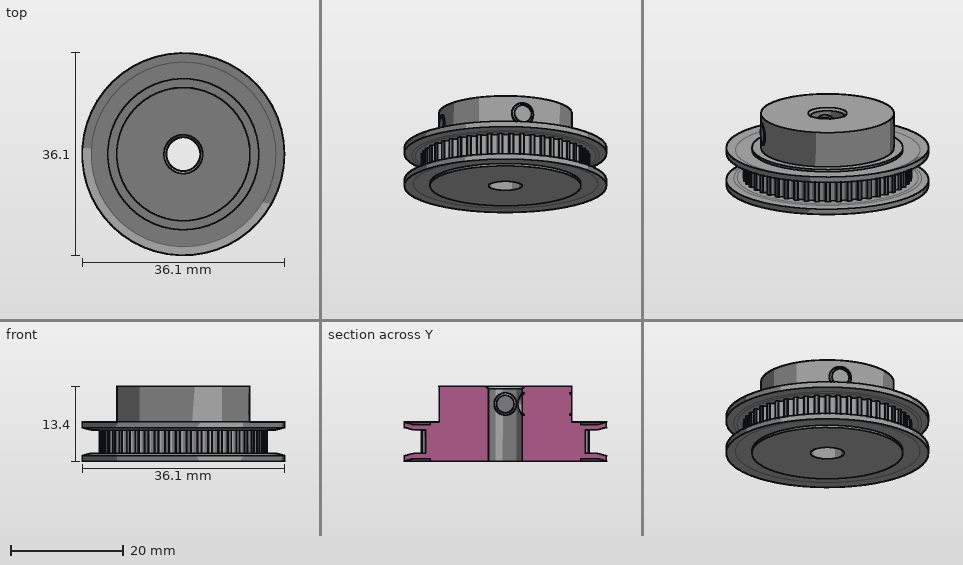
import cadquery as cq
import math

tooth_count = 48
land_radius = 15.0
groove_depth = 0.75
groove_bottom_radius = 0.55
groove_half_width = 0.65
groove_lip_radius = 0.15

flange_radius = 18.05
sheet_thickness = 1.0
dish_depth = 0.45
dish_floor_radius = 16.45
dish_bend_radius = 2.35
core_radius = 13.45

pulley_height = 7.0
total_height = 13.4

hub_radius = 11.88
bore_radius = 3.0
bore_chamfer = 0.47

screw_radius = 2.0
screw_height = (pulley_height + total_height) / 2
screw_chamfer = 0.45
screw_directions = (cq.Vector(1, 0, 0), cq.Vector(0, 1, 0))


def disc(radius, bottom, top):
    return cq.Workplane("XY").workplane(offset=bottom).circle(radius).extrude(top - bottom)


def make_upper_flange():
    """Sheet ring whose flat middle is sunk towards the teeth, below its raised edge."""
    edge_bottom = pulley_height - sheet_thickness
    floor_bottom = edge_bottom - dish_depth
    floor_top = floor_bottom + sheet_thickness

    slope = math.atan2(dish_depth, flange_radius - dish_floor_radius)
    tangent_length = dish_bend_radius * math.tan(slope / 2)
    bend_start = dish_floor_radius - tangent_length
    bend_end = (
        dish_floor_radius + tangent_length * math.cos(slope),
        floor_bottom + tangent_length * math.sin(slope),
    )
    bend_middle = (
        bend_start + dish_bend_radius * math.sin(slope / 2),
        floor_bottom + dish_bend_radius * (1 - math.cos(slope / 2)),
    )
    return (
        cq.Workplane("XZ")
        .moveTo(0, floor_bottom)
        .lineTo(bend_start, floor_bottom)
        .threePointArc(bend_middle, bend_end)
        .lineTo(flange_radius, edge_bottom)
        .lineTo(flange_radius, pulley_height)
        .lineTo(dish_floor_radius, floor_top)
        .lineTo(0, floor_top)
        .close()
        .revolve(360, (0, 0, 0), (0, 1, 0))
    )


def make_groove(angle):
    """Cutter for one belt groove: round bottom, slightly flared walls and rounded lips."""
    mouth_half_width = groove_half_width + groove_lip_radius
    mouth = math.sqrt(land_radius**2 - mouth_half_width**2)
    lip = mouth - groove_lip_radius
    bottom = land_radius - groove_depth
    bottom_center = bottom + groove_bottom_radius
    outside = land_radius + groove_lip_radius
    lip_middle = (
        lip + groove_lip_radius * math.sin(math.pi / 4),
        mouth_half_width - groove_lip_radius * math.cos(math.pi / 4),
    )
    return (
        cq.Workplane("XY")
        .moveTo(outside, mouth_half_width)
        .lineTo(mouth, mouth_half_width)
        .threePointArc(lip_middle, (lip, groove_half_width))
        .lineTo(bottom_center, groove_bottom_radius)
        .threePointArc((bottom, 0), (bottom_center, -groove_bottom_radius))
        .lineTo(lip, -groove_half_width)
        .threePointArc((lip_middle[0], -lip_middle[1]), (mouth, -mouth_half_width))
        .lineTo(outside, -mouth_half_width)
        .close()
        .extrude(pulley_height)
        .rotate((0, 0, 0), (0, 0, 1), angle)
        .val()
    )


def make_toothed_rim():
    rim = disc(land_radius, sheet_thickness, pulley_height - sheet_thickness)
    grooves = [make_groove(index * 360 / tooth_count) for index in range(tooth_count)]
    return rim.cut(cq.Compound.makeCompound(grooves))


def screw_cylinder(direction, start, end):
    base = direction * start + cq.Vector(0, 0, screw_height)
    return cq.Workplane(cq.Solid.makeCylinder(screw_radius, end - start, base, direction))


def make_set_screw(direction):
    """Plain screw from the bore wall to the hub outside, chamfered at both ends."""
    screw = screw_cylinder(direction, bore_radius, hub_radius)
    return screw.edges("%CIRCLE").chamfer(screw_chamfer)


upper_flange = make_upper_flange()
lower_flange = upper_flange.mirror("XY", (0, 0, pulley_height / 2))
body = (
    disc(core_radius, 0, pulley_height)
    .union(make_toothed_rim())
    .union(upper_flange)
    .union(lower_flange)
    .union(disc(hub_radius, pulley_height, total_height))
)

body = body.cut(disc(bore_radius, 0, total_height))
body = body.faces(">Z").edges("%CIRCLE").edges(cq.selectors.RadiusNthSelector(0)).chamfer(bore_chamfer)

for direction in screw_directions:
    body = body.cut(screw_cylinder(direction, 0, hub_radius))
    body = body.union(make_set_screw(direction))

result = body